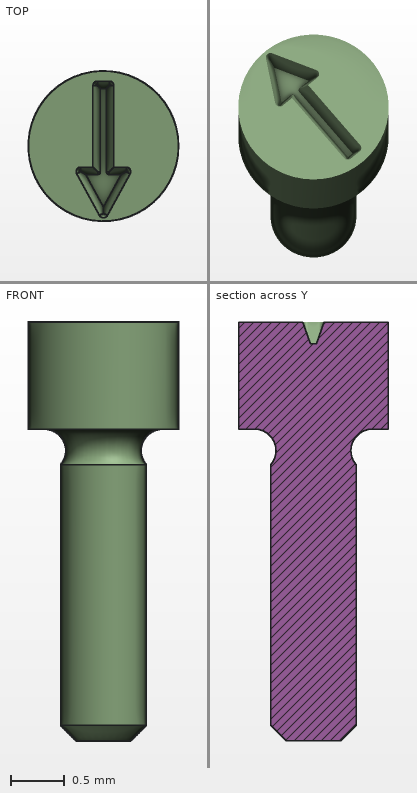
import cadquery as cq
import math

total_length = 3.9
head_diameter = 1.4
head_height = 1.0
shank_diameter = 0.8
tip_chamfer = 0.15

neck_radius = 0.35
groove_radius = 0.2

arrow_depth = 0.2
arrow_flare = 0.07
corner_radius = 0.043
shaft_half_width = 0.055
shaft_end_y = 0.56
shoulder_y = -0.238
arrowhead_half_width = 0.21
arrow_tip_y = -0.625


def pin_body():
    """Revolve the head, relief groove and chamfered shank about Z."""
    head_radius = head_diameter / 2
    shank_radius = shank_diameter / 2
    head_bottom = total_length - head_height
    groove_center_r = neck_radius + groove_radius
    groove_center_z = head_bottom - groove_radius
    groove_drop = math.sqrt(groove_radius**2 - (groove_center_r - shank_radius) ** 2)
    return (
        cq.Workplane("XZ")
        .lineTo(shank_radius - tip_chamfer, 0)
        .lineTo(shank_radius, tip_chamfer)
        .lineTo(shank_radius, groove_center_z - groove_drop)
        .threePointArc((neck_radius, groove_center_z), (groove_center_r, head_bottom))
        .lineTo(head_radius, head_bottom)
        .lineTo(head_radius, total_length)
        .lineTo(0, total_length)
        .close()
        .revolve(360, (0, 0, 0), (0, 1, 0))
    )


def arrow_recess():
    """Arrow pointing to -Y, with evenly sloped walls: sharp corners low down, rounded corners above."""
    right_side = [
        (shaft_half_width, shaft_end_y),
        (shaft_half_width, shoulder_y),
        (arrowhead_half_width, shoulder_y),
    ]
    left_side = [(-x, y) for x, y in reversed(right_side)]
    outline = right_side + [(0, arrow_tip_y)] + left_side
    flare_angle = math.degrees(math.atan2(arrow_flare, arrow_depth))
    rounded_depth = arrow_depth * corner_radius / arrow_flare
    sharp_depth = arrow_depth - rounded_depth
    arrow = (
        cq.Workplane("XY")
        .workplane(offset=total_length - rounded_depth)
        .polyline(outline)
        .close()
        .val()
    )
    upper = cq.Workplane("XY").add(arrow).toPending().extrude(rounded_depth, taper=-flare_angle)
    lower = cq.Workplane("XY").add(arrow).toPending().extrude(-sharp_depth, taper=flare_angle)
    return upper.union(lower)


result = pin_body().cut(arrow_recess())